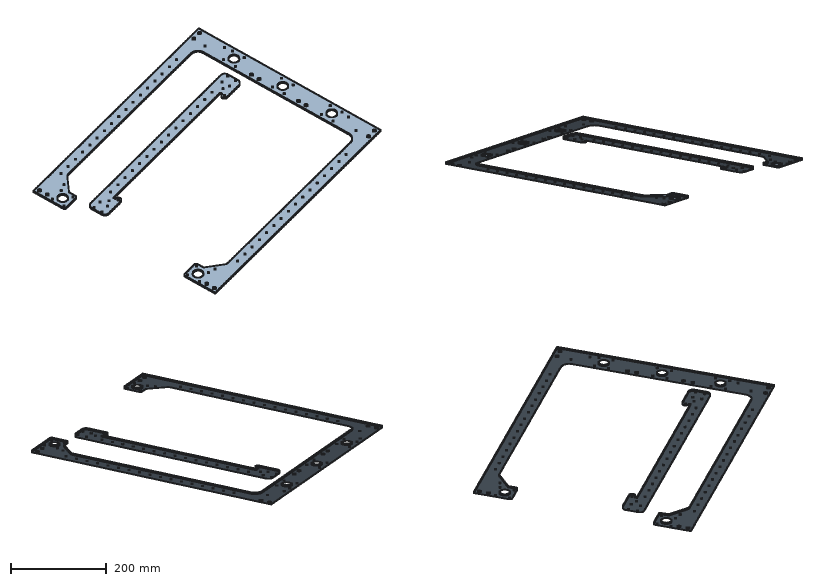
import cadquery as cq

thickness = 4.0
frame_width = 475.0
frame_height = 573.0
rail_width = 29.0
beam_depth = 47.5
inner_corner_radius = 18.5

foot_motor_inset = 22.0
foot_height = 42.0
foot_reach = 82.5
foot_corner_radius = 4.0
gusset_height = 36.5
gusset_flat = 20.5
gusset_blend_radius = 10.0

motor_bore_diameter = 23.0
motor_screw_diameter = 3.4
motor_screw_pitch = 31.0
beam_motor_spacing = 128.0

bolt_diameter = 7.0
bolt_pitch = 20.0
bolt_edge_distance = 9.0
beam_bolt_x = 61.0
beam_bolt_drop = 38.0
dowel_diameter = 3.6
bar_dowel_diameter = 3.2
beam_dowel_outer = (197.0, 255.0)
beam_dowel_inner = (162.0, 275.5)
gusset_dowel = (197.0, -233.5)

rivet_diameter = 3.2
left_rivet_count = 17
right_rivet_count = 16
bar_rivet_count = 15
left_rivet_span = 401.0
rivet_pitch = left_rivet_span / (left_rivet_count - 1)
rail_rivet_inset = 16.0
rail_rivet_top = 188.5

bar_center_y = -16.0
bar_left_x = -121.5
bar_length = 471.0
bar_width = 28.5
bar_head_width = 47.0
bar_head_length = 50.5
bar_corner_radius = 10.0
tab_width = 13.0
tab_straight = 1.0
tab_hole_diameter = 3.4
bar_screw_diameter = 3.6
bar_screw_inset = 13.0
bar_screw_edge_distance = 4.0
bar_dowel_inset = 26.5
bar_dowel_edge_distance = 38.0

half_width = frame_width / 2
half_height = frame_height / 2
inner_x = half_width - rail_width
beam_bottom_y = half_height - beam_depth
foot_tip_x = half_width - foot_reach
foot_top_y = foot_height - half_height
foot_center = (foot_tip_x + foot_motor_inset, foot_height / 2 - half_height)
beam_motor_y = half_height - beam_depth / 2


def drill(plate, points, diameter):
    """Cut a round through hole at each point."""
    cutters = cq.Workplane("XY").pushPoints(points).circle(diameter / 2).extrude(thickness)
    return plate.cut(cutters)


def both_sides(points):
    """Return the points together with their mirror images in the YZ plane."""
    return [(side * x, y) for side in (-1, 1) for x, y in points]


def square_around(center, pitch):
    """Return the four corners of a square of the given pitch."""
    x, y = center
    return [(x + i * pitch / 2, y + j * pitch / 2) for i in (-1, 1) for j in (-1, 1)]


def rivet_row(x, top_y, count):
    """Return evenly spaced points running down from top_y."""
    return [(x, top_y - i * rivet_pitch) for i in range(count)]


def fillet_corners(plate, points, radius):
    """Round the upright edges that stand on the given outline points."""
    for x, y in points:
        plate = plate.edges(cq.selectors.NearestToPointSelector((x, y, thickness / 2))).fillet(radius)
    return plate


def make_frame_plate():
    """Portal outline with rounded inner corners, gussets and feet."""
    gusset_top = (inner_x, foot_top_y + gusset_height)
    right_half = [
        (half_width, half_height),
        (half_width, -half_height),
        (foot_tip_x, -half_height),
        (foot_tip_x, foot_top_y),
        (foot_tip_x + gusset_flat, foot_top_y),
        gusset_top,
        (inner_x, beam_bottom_y),
    ]
    left_half = [(-x, y) for x, y in reversed(right_half)]
    plate = cq.Workplane("XY").polyline(right_half + left_half).close().extrude(thickness)
    plate = fillet_corners(plate, both_sides([(inner_x, beam_bottom_y)]), inner_corner_radius)
    plate = fillet_corners(plate, both_sides([gusset_top]), gusset_blend_radius)
    foot_corners = [(foot_tip_x, -half_height), (foot_tip_x, foot_top_y)]
    return fillet_corners(plate, both_sides(foot_corners), foot_corner_radius)


def make_frame():
    plate = make_frame_plate()

    motors = [(i * beam_motor_spacing, beam_motor_y) for i in (-1, 0, 1)] + both_sides([foot_center])
    plate = drill(plate, motors, motor_bore_diameter)
    for center in motors:
        plate = drill(plate, square_around(center, motor_screw_pitch), motor_screw_diameter)

    bolt_x = half_width - bolt_edge_distance
    bolt_y = half_height - bolt_edge_distance
    beam_bolt_y = half_height - beam_bolt_drop
    bolts = [
        (bolt_x, bolt_y),
        (bolt_x, bolt_y - bolt_pitch),
        (bolt_x, -bolt_y),
        (bolt_x - bolt_pitch, -bolt_y),
        (beam_bolt_x - bolt_pitch / 2, beam_bolt_y),
        (beam_bolt_x + bolt_pitch / 2, beam_bolt_y),
    ]
    plate = drill(plate, both_sides(bolts), bolt_diameter)

    dowels = [beam_dowel_outer, beam_dowel_inner, gusset_dowel]
    plate = drill(plate, both_sides(dowels), dowel_diameter)

    rivet_x = half_width - rail_rivet_inset
    plate = drill(plate, rivet_row(-rivet_x, rail_rivet_top, left_rivet_count), rivet_diameter)
    return drill(plate, rivet_row(rivet_x, rail_rivet_top, right_rivet_count), rivet_diameter)


def make_bar():
    """Strip with mirrored heads, built about its own mid-length and then moved into place."""
    half_length = bar_length / 2
    head_root_y = half_length - bar_head_length
    tab_radius = tab_width / 2
    tab_x = bar_head_width - tab_radius
    tab_tip_y = head_root_y - tab_straight

    bar = cq.Workplane("XY").rect(bar_width, bar_length).extrude(thickness)
    bar = bar.translate((bar_width / 2, 0, 0))
    for end in (-1, 1):
        head_center = (bar_head_width / 2, end * (half_length - bar_head_length / 2))
        head = cq.Workplane("XY").center(*head_center).rect(bar_head_width, bar_head_length).extrude(thickness)
        tab = (
            cq.Workplane("XY")
            .moveTo(tab_x - tab_radius, end * head_root_y)
            .lineTo(tab_x - tab_radius, end * tab_tip_y)
            .threePointArc((tab_x, end * (tab_tip_y - tab_radius)), (tab_x + tab_radius, end * tab_tip_y))
            .lineTo(tab_x + tab_radius, end * head_root_y)
            .close()
            .extrude(thickness)
        )
        bar = bar.union(head).union(tab)
    bar = bar.clean()
    outer_corners = [(x, end * half_length) for x in (0, bar_head_width) for end in (-1, 1)]
    bar = fillet_corners(bar, outer_corners, bar_corner_radius)

    outer_screw_y = half_length - bar_screw_edge_distance
    for end in (-1, 1):
        screws = [
            (bar_screw_inset + i * bolt_pitch, end * (outer_screw_y - j * bolt_pitch))
            for i in (0, 1)
            for j in (0, 1)
        ]
        bar = drill(bar, screws, bar_screw_diameter)
        bar = drill(bar, [(bar_dowel_inset, end * (half_length - bar_dowel_edge_distance))], bar_dowel_diameter)
        bar = drill(bar, [(tab_x, end * tab_tip_y)], tab_hole_diameter)

    row_top = (bar_rivet_count - 1) * rivet_pitch / 2
    bar = drill(bar, rivet_row(bar_width / 2, row_top, bar_rivet_count), rivet_diameter)
    return bar.translate((bar_left_x, bar_center_y, 0))


frame = make_frame()
bar = make_bar()
result = cq.Compound.makeCompound([frame.val(), bar.val()])